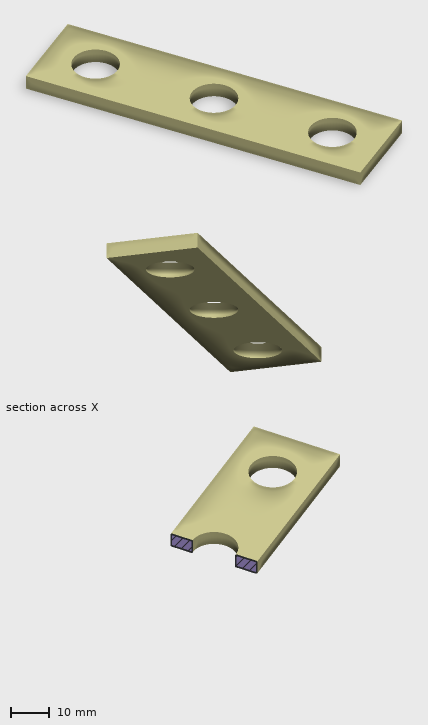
import cadquery as cq

length = 96.0
width = 25.0
thickness = 4.0
hole_diameter = 12.6
hole_pitch = 34.0
hole_count = 3

plate = cq.Workplane("XY").box(length, width, thickness)
result = plate.rarray(hole_pitch, 1, hole_count, 1).circle(hole_diameter / 2).cutThruAll()